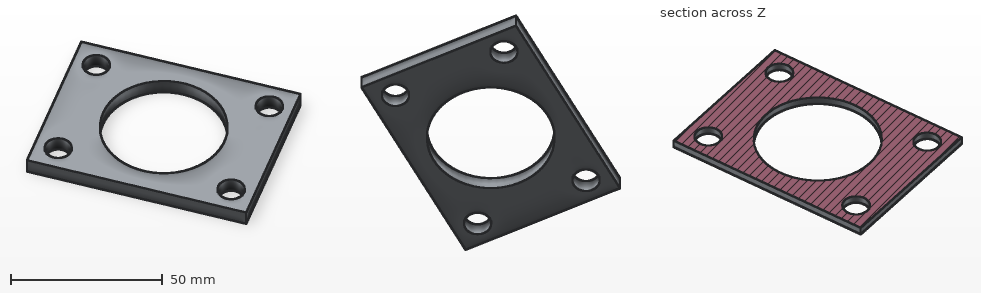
import cadquery as cq

plate_length = 76.0
plate_width = 57.0
plate_thickness = 5.4

bore_diameter = 42.0
bolt_hole_diameter = 9.0
bolt_spacing_x = 60.0
bolt_spacing_y = 40.0

plate = cq.Workplane("XY").box(plate_length, plate_width, plate_thickness)

plate_with_bore = plate.faces(">Z").workplane().hole(bore_diameter)

result = (
    plate_with_bore.faces(">Z")
    .workplane(origin=(0, 0, 0))
    .rect(bolt_spacing_x, bolt_spacing_y, forConstruction=True)
    .vertices()
    .hole(bolt_hole_diameter)
)